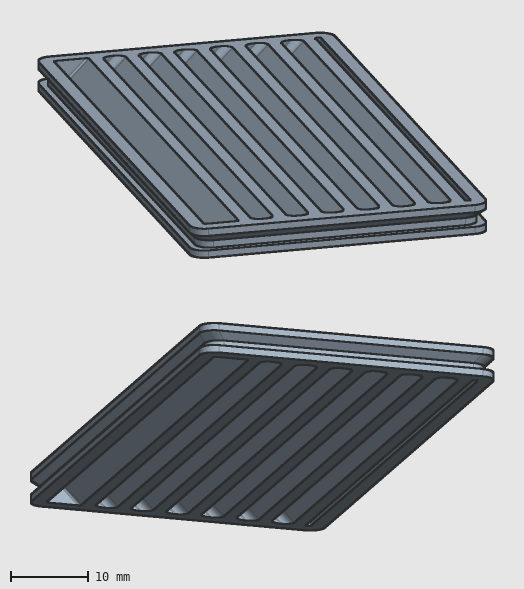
import cadquery as cq

length = 75.0
width = 40.0
height = 4.0

layer = height / 4
groove_depth = layer
corner_radius = 2 * layer

side_border = 2 * layer
end_border = 2.0
slat_count = 7
slat_thickness = 1.8
slat_pitch = 4.8
slot_radius = 1.0
end_slot_radius = 0.285

lean = height
opening_length = length - 2 * end_border
opening_half_width = width / 2 - side_border

row_width = (slat_count - 1) * slat_pitch + slat_thickness + lean
first_slat_y = row_width / 2


def rounded_plate(inset, bottom, thickness):
    """Rounded rectangular layer, inset from the outer edge."""
    return (
        cq.Workplane("XY")
        .workplane(offset=bottom)
        .rect(length - 2 * inset, width - 2 * inset)
        .extrude(thickness)
        .edges("|Z")
        .fillet(corner_radius)
    )


def rounded_outline(inset):
    return cq.Sketch().rect(length - 2 * inset, width - 2 * inset).vertices().fillet(corner_radius)


def tapered_layer(bottom):
    """Layer that widens upward from the groove floor to the outer edge."""
    top_outline = rounded_outline(0).moved(cq.Location(cq.Vector(0, 0, layer)))
    return (
        cq.Workplane("XY")
        .workplane(offset=bottom)
        .placeSketch(rounded_outline(groove_depth), top_outline)
        .loft(ruled=True)
    )


def slot_cutter(top_back, top_front, bottom_back, bottom_front, radius):
    """Through slot along X, given the Y of its four edges, with rounded corners."""
    section = [(top_back, height), (top_front, height), (bottom_front, 0), (bottom_back, 0)]
    return (
        cq.Workplane("YZ")
        .polyline(section)
        .close()
        .extrude(opening_length / 2, both=True)
        .edges("not(#Z)")
        .fillet(radius)
    )


result = (
    rounded_plate(0, 0, layer)
    .union(rounded_plate(groove_depth, layer, layer))
    .union(tapered_layer(2 * layer))
    .union(rounded_plate(0, 3 * layer, layer))
)

for index in range(slat_count - 1):
    back = first_slat_y - index * slat_pitch - slat_thickness
    front = first_slat_y - (index + 1) * slat_pitch
    result = result.cut(slot_cutter(back, front, back - lean, front - lean, slot_radius))

back_slot = slot_cutter(
    opening_half_width, first_slat_y, opening_half_width, first_slat_y - lean, end_slot_radius
)
last_slat_front = first_slat_y - row_width + lean
front_slot = slot_cutter(
    last_slat_front, -opening_half_width, last_slat_front - lean, -opening_half_width, end_slot_radius
)
result = result.cut(back_slot).cut(front_slot)